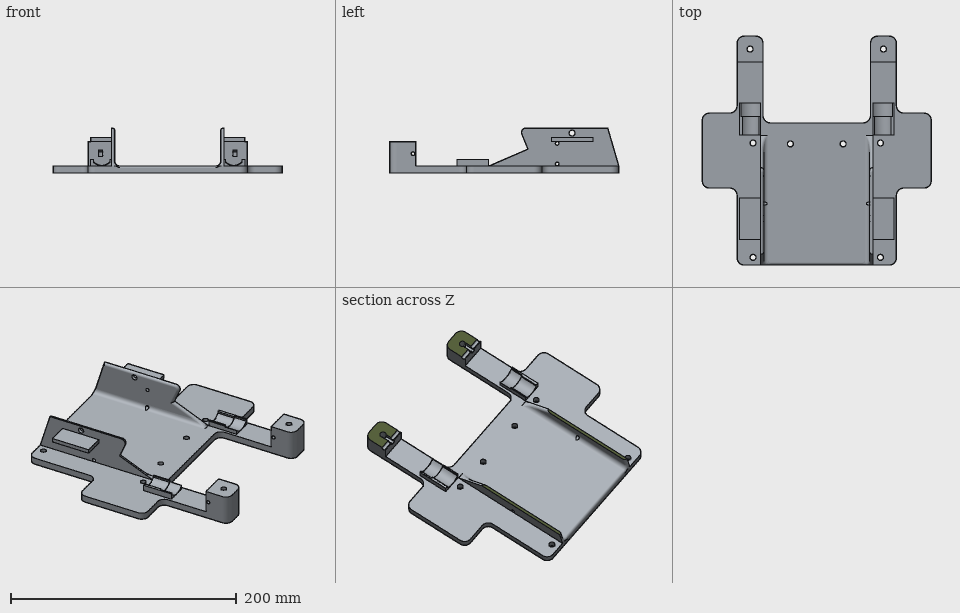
import cadquery as cq

plate_length = 203.2
plate_thickness = 6.5
wing_half_width = 101.5
wing_half_length = 33.3
body_half_width = 70.7
arm_inner_x = 47.5
arm_width = body_half_width - arm_inner_x
arm_center_x = arm_inner_x + arm_width / 2
bay_y = 24.5
corner_radius = 6.5
front_y = -plate_length / 2
back_y = plate_length / 2

screw_diameter = 5.0
pin_diameter = 3.0
body_hole_x = 56.5
body_hole_front_y = -94.7
body_hole_back_y = 6.7
inner_hole_x = 23.4
inner_hole_y = 5.9

post_height = 28.0
post_front_y = back_y - arm_width
post_center_y = back_y - arm_width / 2
slot_x = 59.5
slot_width = 3.7
slot_end_y = post_center_y - screw_diameter / 2
slot_bottom_z = 14.6
slot_mouth_z = 20.3
slot_inner_z = 18.9
post_pin_y = 80.9
post_pin_z = 17.3

total_height = 40.0
wall_outer_x = 50.0
wall_thickness = 3.0
wall_inner_x = wall_outer_x - wall_thickness
wall_back_y = 13.2
wall_top_front_y = -91.8
wall_top_back_y = -13.2
notch_y = -21.0
notch_z = 21.3
wall_tip_radius = 4.0
bend_radius = 4.0
bend_z = plate_thickness + bend_radius
rim_radius = 2.2
wall_screw_y = -60.1
wall_screw_z = 35.5
wall_pin_y = -47.0
wall_pin_zs = (8.1, 26.5)

ledge_outer_x = 68.5
shelf_front_y = -78.8
shelf_back_y = -42.0
shelf_bottom_z = 28.0
shelf_thickness = 3.7
cradle_inner_x = wall_outer_x
cradle_front_y = 13.8
cradle_step_y = 30.3
cradle_back_y = 42.0
cradle_top_z = 12.2
groove_x = 58.5
groove_half_width = 7.5
groove_bottom_z = 7.0
groove_wide_half_width = groove_x - cradle_inner_x
groove_wide_bottom_z = 6.7
groove_shoulder_z = 10.5

tolerance = 0.02


def box(x0, x1, y0, y1, z0, z1):
    """Box between two opposite corners."""
    return cq.Workplane("XY").box(x1 - x0, y1 - y0, z1 - z0, centered=False).translate((x0, y0, z0))


def cylinder(direction, start, diameter, length):
    """Solid cylinder along a direction from a start point."""
    return cq.Workplane(cq.Solid.makeCylinder(diameter / 2, length, cq.Vector(*start), cq.Vector(*direction)))


def mirrored(shape):
    """A right-hand shape together with its left-hand twin."""
    return shape.union(shape.mirror("YZ"))


def base_plate():
    right_edge = [
        (body_half_width, front_y),
        (body_half_width, -wing_half_length),
        (wing_half_width, -wing_half_length),
        (wing_half_width, wing_half_length),
        (body_half_width, wing_half_length),
        (body_half_width, back_y),
        (arm_inner_x, back_y),
        (arm_inner_x, bay_y),
    ]
    left_edge = [(-x, y) for x, y in reversed(right_edge)]
    plate = cq.Workplane("XY").polyline(right_edge + left_edge).close().extrude(plate_thickness)
    posts = mirrored(box(arm_inner_x, body_half_width, post_front_y, back_y, 0, post_height))
    plate = plate.edges("|Z").fillet(corner_radius)
    posts = posts.edges("|Z and >Y").fillet(corner_radius)
    return plate.union(posts)


def side_walls():
    outline = [
        (front_y, plate_thickness),
        (wall_top_front_y, total_height),
        (wall_top_back_y, total_height),
        (notch_y, notch_z),
        (wall_back_y, plate_thickness),
    ]
    wall_foot_x = wall_inner_x - bend_radius
    slab = cq.Workplane("YZ", origin=(wall_foot_x, 0, 0)).polyline(outline).close()
    slab = slab.extrude(wall_outer_x - wall_foot_x)
    tip = cq.selectors.NearestToPointSelector((wall_foot_x, wall_top_back_y, total_height))
    slab = slab.edges("|X").edges(tip).fillet(wall_tip_radius)

    inside = box(wall_foot_x, wall_inner_x, front_y, wall_back_y, bend_z, total_height)
    bend_start = (wall_foot_x, front_y, bend_z)
    inside = inside.union(cylinder((0, 1, 0), bend_start, 2 * bend_radius, wall_back_y - front_y))
    return mirrored(slab.cut(inside))


def is_rim(edge):
    """True for the edges that end the channel's inner surface."""
    bounds = edge.BoundingBox()
    center_x = abs(bounds.center.x)
    on_floor_front = center_x < tolerance and bounds.ymax < front_y + tolerance and bounds.zmin > tolerance
    on_wall = wall_inner_x - bend_radius - tolerance < center_x < wall_inner_x + tolerance
    is_bend_line = bounds.zmax < bend_z + tolerance and bounds.zlen < tolerance
    return on_floor_front or (on_wall and not is_bend_line)


def channel_plate():
    body = base_plate().union(side_walls())
    rim = [edge for edge in body.edges().vals() if is_rim(edge)]
    return body.newObject(rim).fillet(rim_radius)


def shelves():
    shelf_inner_x = wall_outer_x - wall_thickness / 2
    shelf_top_z = shelf_bottom_z + shelf_thickness
    return mirrored(
        box(shelf_inner_x, ledge_outer_x, shelf_front_y, shelf_back_y, shelf_bottom_z, shelf_top_z)
    )


def groove(half_width, bottom_z, start_y):
    """Trough along Y with a round bottom and upright sides, open at the top and back."""
    left_x = groove_x - half_width
    right_x = groove_x + half_width
    return (
        cq.Workplane("XZ", origin=(0, cradle_back_y, 0))
        .moveTo(left_x, cradle_top_z)
        .lineTo(left_x, groove_shoulder_z)
        .threePointArc((groove_x, bottom_z), (right_x, groove_shoulder_z))
        .lineTo(right_x, cradle_top_z)
        .close()
        .extrude(cradle_back_y - start_y)
    )


def cradles():
    """Blocks with a groove along Y; its wide back part takes away the inner side."""
    block = box(cradle_inner_x, ledge_outer_x, cradle_front_y, cradle_back_y, plate_thickness, cradle_top_z)
    narrow = groove(groove_half_width, groove_bottom_z, cradle_front_y)
    wide = groove(groove_wide_half_width, groove_wide_bottom_z, cradle_step_y)
    return mirrored(block.cut(narrow).cut(wide))


def screw_holes():
    places = [
        (body_hole_x, body_hole_front_y),
        (body_hole_x, body_hole_back_y),
        (inner_hole_x, inner_hole_y),
        (arm_center_x, post_center_y),
    ]
    holes = cq.Workplane("XY").pushPoints(places).circle(screw_diameter / 2).extrude(post_height)
    return mirrored(holes)


def post_slots():
    """Slots from the front of each post into its screw hole."""
    side_profile = [
        (post_front_y, slot_bottom_z),
        (post_front_y, slot_mouth_z),
        (slot_end_y, slot_inner_z),
        (post_center_y, slot_inner_z),
        (post_center_y, slot_bottom_z),
    ]
    slot = cq.Workplane("YZ", origin=(slot_x - slot_width / 2, 0, 0))
    return mirrored(slot.polyline(side_profile).close().extrude(slot_width))


def cross_hole(y, z, diameter):
    """Hole along X through both sides of the part."""
    return cylinder((1, 0, 0), (-wing_half_width, y, z), diameter, 2 * wing_half_width)


result = channel_plate().union(shelves()).union(cradles())
result = result.cut(screw_holes()).cut(post_slots())
result = result.cut(cross_hole(post_pin_y, post_pin_z, pin_diameter))
result = result.cut(cross_hole(wall_screw_y, wall_screw_z, screw_diameter))
for pin_z in wall_pin_zs:
    result = result.cut(cross_hole(wall_pin_y, pin_z, pin_diameter))